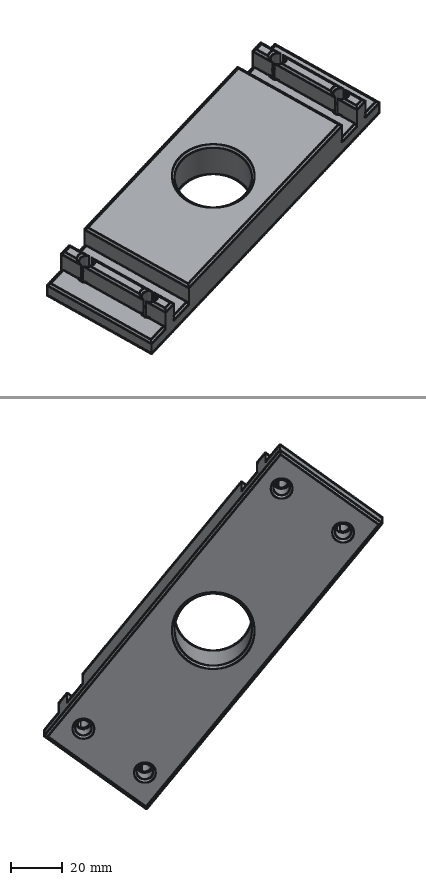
import cadquery as cq

width = 50.0
length = 150.0
height = 18.0
base_thickness = 8.0
chamfer = 1.0

block_length = 101.0
bore_diameter = 30.0

rib_thickness = 5.4
rib_offset = 63.0
base_hole_diameter = 6.4
rib_hole_diameter = 5.5
screw_hole_spacing = 30.0


def make_base():
    """Base plate with all its top and bottom edges chamfered."""
    plate = cq.Workplane("XY").box(width, length, base_thickness, centered=(True, True, False))
    return plate.faces("<Z or >Z").edges().chamfer(chamfer)


def make_raised_bar(bar_length, y_center):
    """Full-width bar with a chamfered top, rooted below the base plate's top chamfer."""
    root_height = base_thickness / 2
    bar = (
        cq.Workplane("XY", origin=(0, y_center, root_height))
        .box(width, bar_length, height - root_height, centered=(True, True, False))
    )
    return bar.faces(">Z").edges().chamfer(chamfer)


def make_hole_cutter(lower_diameter, upper_diameter, x_center, y_center):
    """Through hole, chamfered at both ends, that changes diameter at the base plate's top."""
    lower_radius = lower_diameter / 2
    upper_radius = upper_diameter / 2
    lower_part = (
        cq.Workplane("XY")
        .circle(lower_radius)
        .extrude(base_thickness)
    )
    upper_part = (
        cq.Workplane("XY", origin=(0, 0, base_thickness))
        .circle(upper_radius)
        .extrude(height - base_thickness)
    )
    bottom_flare = cq.Solid.makeCone(lower_radius + chamfer, lower_radius, chamfer)
    top_flare = cq.Solid.makeCone(
        upper_radius, upper_radius + chamfer, chamfer, pnt=cq.Vector(0, 0, height - chamfer)
    )
    cutter = lower_part.union(upper_part).union(bottom_flare).union(top_flare)
    return cutter.translate((x_center, y_center, 0))


result = make_base().union(make_raised_bar(block_length, 0))
result = result.cut(make_hole_cutter(bore_diameter, bore_diameter, 0, 0))

for rib_y in (-rib_offset, rib_offset):
    result = result.union(make_raised_bar(rib_thickness, rib_y))
    for hole_x in (-screw_hole_spacing / 2, screw_hole_spacing / 2):
        result = result.cut(make_hole_cutter(base_hole_diameter, rib_hole_diameter, hole_x, rib_y))